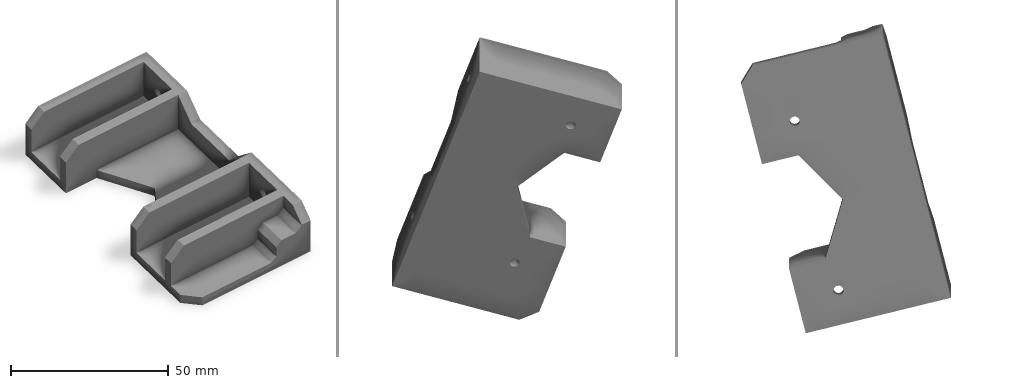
import cadquery as cq
import math

LENGTH = 89.0
DEPTH = 47.5
HEIGHT = 18.5

FLOOR = 3.5
WALL = 3.3
BACK_WALL = 3.5

CHANNEL_WIDTH = 22.0
WING_WIDTH = 10.0
WING_X = LENGTH - WING_WIDTH
CHANNEL_STARTS = (0.0, WING_X - CHANNEL_WIDTH)
BRIDGE_START = CHANNEL_WIDTH
BRIDGE_END = CHANNEL_STARTS[1]
CORNER_CHAMFER = 5.0

HOLE_DIAMETER = 3.2
FLOOR_HOLE_Y = 13.5
BACK_HOLE_Z = 11.0

V_SIDE_Y = 12.0
V_ANGLE = 30.0
VALLEY_Z = 11.3

BLOCK_FRONT_Y = 34.0
BLOCK_TOP_Z = 11.2
BLOCK_CHAMFER = 2.0
BLOCK_FOOT_RUN = 2.0
BLOCK_FOOT_RISE = 1.6
BLOCK_BACK_RUN = 2.5
BLOCK_BACK_RISE = 2.0

BACK_Y = DEPTH - BACK_WALL


def box(x, y, z, dx, dy, dz):
    """Box with its lowest corner at (x, y, z)."""
    return cq.Workplane("XY").box(dx, dy, dz, centered=False).translate((x, y, z))


def side_prism(points, x, length):
    """Extrude a (y, z) outline along +X, starting at x."""
    return cq.Workplane("YZ", origin=(x, 0, 0)).polyline(points).close().extrude(length)


def make_channel(x):
    """U-shaped channel with sloped front wall tips."""
    outline = [
        (0, 0),
        (DEPTH, 0),
        (DEPTH, HEIGHT),
        (CORNER_CHAMFER, HEIGHT),
        (0, HEIGHT - CORNER_CHAMFER),
    ]
    channel = side_prism(outline, x, CHANNEL_WIDTH)
    return channel.cut(box(x + WALL, 0, FLOOR, CHANNEL_WIDTH - 2 * WALL, BACK_Y, HEIGHT))


def make_screw_holes(x):
    """Holes through the floor and the back wall of the channel starting at x."""
    middle = x + CHANNEL_WIDTH / 2
    radius = HOLE_DIAMETER / 2
    floor_hole = cq.Workplane("XY", origin=(middle, FLOOR_HOLE_Y, 0)).circle(radius).extrude(FLOOR)
    back_hole = cq.Workplane("XZ", origin=(middle, DEPTH, BACK_HOLE_Z)).circle(radius).extrude(BACK_WALL)
    return floor_hole.union(back_hole)


def make_bridge_floor():
    """Floor between the channels, with a V-shaped front edge."""
    half_gap = (BRIDGE_END - BRIDGE_START) / 2
    apex_y = V_SIDE_Y + half_gap * math.tan(math.radians(V_ANGLE))
    outline = [
        (BRIDGE_START, DEPTH),
        (BRIDGE_START, V_SIDE_Y),
        (BRIDGE_START + half_gap, apex_y),
        (BRIDGE_END, V_SIDE_Y),
        (BRIDGE_END, DEPTH),
    ]
    return cq.Workplane("XY").polyline(outline).close().extrude(FLOOR)


def make_back_wall():
    """Full-length back wall with a 45 degree valley and a chamfered right corner."""
    drop = HEIGHT - VALLEY_Z
    outline = [
        (0, 0),
        (LENGTH, 0),
        (LENGTH, HEIGHT - CORNER_CHAMFER),
        (LENGTH - CORNER_CHAMFER, HEIGHT),
        (BRIDGE_END, HEIGHT),
        (BRIDGE_END - drop, VALLEY_Z),
        (BRIDGE_START + drop, VALLEY_Z),
        (BRIDGE_START, HEIGHT),
        (0, HEIGHT),
    ]
    return cq.Workplane("XZ", origin=(0, DEPTH, 0)).polyline(outline).close().extrude(BACK_WALL)


def make_wing_floor():
    """Floor to the right of the channels, with a chamfered front corner."""
    wing = box(WING_X, 0, 0, WING_WIDTH, DEPTH, FLOOR)
    return wing.edges("|Z and >X and <Y").chamfer(CORNER_CHAMFER)


def make_wing_block():
    """Block on the wing against the back wall, sloped at its back, front top and foot."""
    outline = [
        (BACK_Y, FLOOR),
        (BLOCK_FRONT_Y - BLOCK_FOOT_RUN, FLOOR),
        (BLOCK_FRONT_Y, FLOOR + BLOCK_FOOT_RISE),
        (BLOCK_FRONT_Y, BLOCK_TOP_Z - BLOCK_CHAMFER),
        (BLOCK_FRONT_Y + BLOCK_CHAMFER, BLOCK_TOP_Z),
        (BACK_Y - BLOCK_BACK_RUN, BLOCK_TOP_Z),
        (BACK_Y, BLOCK_TOP_Z + BLOCK_BACK_RISE),
    ]
    return side_prism(outline, WING_X, WING_WIDTH)


result = make_back_wall()
for channel_x in CHANNEL_STARTS:
    result = result.union(make_channel(channel_x))
result = result.union(make_bridge_floor()).union(make_wing_floor()).union(make_wing_block())
for channel_x in CHANNEL_STARTS:
    result = result.cut(make_screw_holes(channel_x))